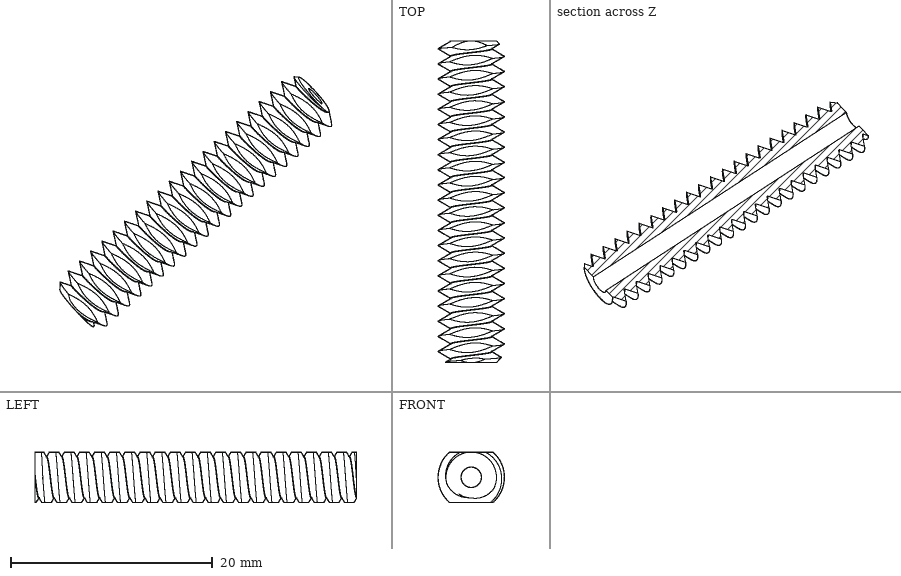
import cadquery as cq
import math

length = 31.88
crest_diameter = 6.6
thickness_across_flats = 5.0
bore_diameter = 2.0
pitch = 1.5
thread_angle = 60.0
end_face_diameter = 5.0
crest_offset = 0.35
lead_in_turns = 2
root_flat_height = 0.05
ridge_overlap = 0.03

crest_radius = crest_diameter / 2
half_angle_slope = math.tan(math.radians(thread_angle / 2))
sharp_root_radius = crest_radius - pitch / 2 / half_angle_slope
core_radius = sharp_root_radius + root_flat_height
ridge_base_radius = core_radius - ridge_overlap
ridge_base_half_width = (crest_radius - ridge_base_radius) * half_angle_slope


def make_ridge_turn():
    """One right-hand turn of the thread ridge around Z, starting on +X at height zero."""
    path = cq.Wire.makeHelix(pitch, pitch, crest_radius)
    return (
        cq.Workplane("XZ")
        .moveTo(ridge_base_radius, -ridge_base_half_width)
        .lineTo(crest_radius, 0)
        .lineTo(ridge_base_radius, ridge_base_half_width)
        .close()
        .sweep(cq.Workplane(obj=path), isFrenet=True)
        .val()
    )


def make_threaded_rod():
    """Core with a chain of ridge turns that runs past both ends."""
    core = cq.Workplane("XY").circle(core_radius).extrude(length).val()
    turn = make_ridge_turn()
    turn_count = math.ceil(length / pitch) + 2 * lead_in_turns
    turns = []
    for index in range(turn_count):
        height = crest_offset + (index - lead_in_turns) * pitch
        turns.append(turn.translate(cq.Vector(0, 0, height)))
    return cq.Workplane(obj=core.fuse(*turns))


def make_envelope():
    """Chamfered round bar with two flats, used to trim the threaded rod."""
    end_radius = end_face_diameter / 2
    chamfer = crest_radius - end_radius
    clearance = 0.2
    bar_radius = crest_radius + clearance
    bar = (
        cq.Workplane("XY")
        .circle(bar_radius)
        .extrude(length)
        .faces("<Z or >Z")
        .chamfer(chamfer + clearance)
    )
    slab = cq.Workplane("XY").box(
        2 * bar_radius, thickness_across_flats, length, centered=(True, True, False)
    )
    return bar.intersect(slab)


def make_bore():
    return cq.Workplane("XY").circle(bore_diameter / 2).extrude(length)


upright_screw = make_threaded_rod().intersect(make_envelope()).cut(make_bore())

result = (
    upright_screw.translate((0, 0, -length / 2))
    .rotate((0, 0, 0), (1, 0, 0), -90)
    .solids()
)